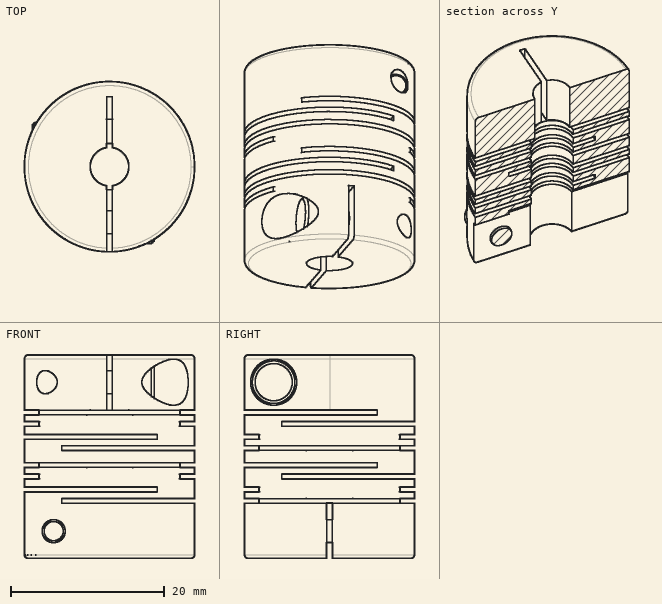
import cadquery as cq

outer_diameter = 22.2
length = 26.5
edge_radius = 0.5
outer_radius = outer_diameter / 2
mid_height = length / 2

top_bore_diameter = 5.0
bottom_bore_diameter = 6.0

slot_height = 0.6
slot_reach = 6.2
pair_spacing = 1.48
pair_pitch = 3.17
set_pitch = 6.86

slit_width = 0.75
top_slit_reach = 9.1

screw_offset = 7.27
screw_end_distance = 3.55
screw_diameter = 3.0
tip_chamfer = 0.25
tip_position = -6.75
head_diameter = 5.55
head_height = 3.0
head_chamfer = 0.35
head_end_position = 5.8
counterbore_diameter = 6.0
seat_position = head_end_position - head_height

outer_slot_offset = (set_pitch + pair_pitch + pair_spacing) / 2
hub_height = mid_height - outer_slot_offset - slot_height / 2

top_screw_height = length - screw_end_distance
bottom_screw_height = screw_end_distance


def make_body():
    """Outer cylinder with rounded end edges and the stepped bore."""
    body = cq.Workplane("XY").circle(outer_radius).extrude(length)
    body = body.edges().fillet(edge_radius)
    bottom_bore = cq.Workplane("XY").circle(bottom_bore_diameter / 2).extrude(length - hub_height)
    top_bore = cq.Workplane("XY").circle(top_bore_diameter / 2).extrude(length)
    return body.cut(bottom_bore).cut(top_bore)


def flexure_slot(height, angle):
    """Slot centred at the given height, open toward the direction of the angle about Z."""
    slot = cq.Workplane("XY").box(
        outer_radius + slot_reach, outer_diameter, slot_height, centered=(False, True, True)
    )
    return slot.translate((-slot_reach, 0, height)).rotate((0, 0, 0), (0, 0, 1), angle)


def cut_flexure_slots(body):
    """Two sets of slots; each set opens toward -Y, +Y, -X and +X going down."""
    depths_in_set = (0, pair_spacing, pair_pitch, pair_pitch + pair_spacing)
    opening_angles = (-90, 90, 180, 0)
    highest_slot = mid_height + outer_slot_offset
    for set_top in (highest_slot, highest_slot - set_pitch):
        for depth, angle in zip(depths_in_set, opening_angles):
            body = body.cut(flexure_slot(set_top - depth, angle))
    return body


def cut_clamp_slits(body):
    """Top slit opens toward -Y and ends blind; bottom slit crosses the hub along X."""
    top_slit = cq.Workplane("XY").box(
        slit_width, outer_radius + top_slit_reach, hub_height, centered=(True, False, False)
    )
    bottom_slit = cq.Workplane("XY").box(
        outer_diameter, slit_width, hub_height, centered=(True, True, False)
    )
    body = body.cut(top_slit.translate((0, -outer_radius, length - hub_height)))
    return body.cut(bottom_slit)


def cylinder_along_x(diameter, start, end):
    """Solid cylinder on the X axis between two positions."""
    return cq.Workplane("YZ").workplane(offset=start).circle(diameter / 2).extrude(end - start)


def screw_hole():
    """Through hole with the counterbore for the head on the +X side."""
    hole = cylinder_along_x(screw_diameter, -outer_radius, outer_radius)
    return hole.union(cylinder_along_x(counterbore_diameter, seat_position, outer_radius))


def clamp_screw():
    """Cap screw with a chamfered tip and a chamfered head."""
    shank = cylinder_along_x(screw_diameter, tip_position, seat_position)
    shank = shank.faces("<X").chamfer(tip_chamfer)
    head = cylinder_along_x(head_diameter, seat_position, head_end_position)
    head = head.faces(">X").chamfer(head_chamfer)
    return shank.union(head)


def place_top(tool):
    """Move a tool built on the X axis to the top hub, head end toward +X."""
    return tool.translate((0, -screw_offset, top_screw_height))


def place_bottom(tool):
    """Turn and move a tool built on the X axis to the bottom hub, head end toward +Y."""
    turned = tool.rotate((0, 0, 0), (0, 0, 1), 90)
    return turned.translate((-screw_offset, 0, bottom_screw_height))


def add_clamp_screws(body):
    """Drill each hub and fit its screw; the shank fills its hole and joins the hub."""
    for place in (place_top, place_bottom):
        body = body.cut(place(screw_hole())).union(place(clamp_screw()))
    return body


coupling = make_body()
coupling = cut_flexure_slots(coupling)
coupling = cut_clamp_slits(coupling)
result = add_clamp_screws(coupling)